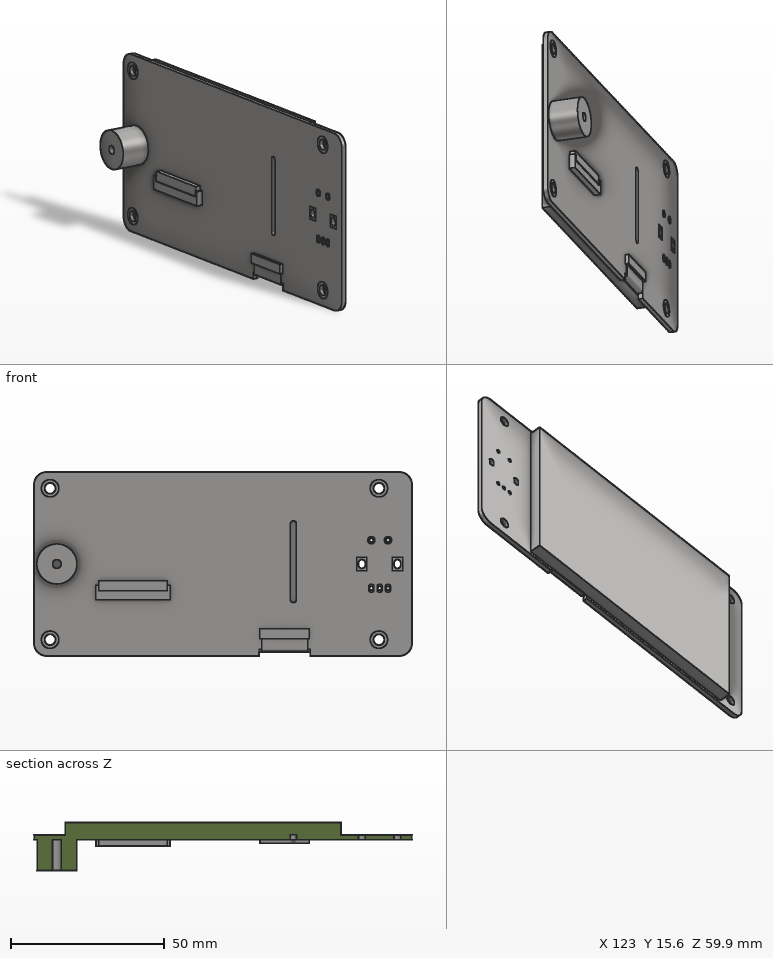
import cadquery as cq


board_length = 123.0
board_height = 59.9
board_thickness = 1.6
corner_radius = 4.3

panel_left = -51.3
panel_right = 38.4
panel_height = 57.4
panel_thickness = 4.0

pad_thickness = 0.04
mount_left = -56.2
mount_right = 50.7
mount_z = 24.6
mount_hole_diameter = 3.5
mount_pad_diameter = 5.7

knob_x = 50.9
switch_pin_spacing = 5.4
switch_pin_z = 7.7
signal_pin_spacing = 2.7
signal_pin_z = -7.9
pin_hole_diameter = 1.2
switch_pad_diameter = 2.3
signal_pad_width = 1.7
signal_pad_height = 2.6
lug_spacing = 11.5
lug_pad_width = 3.3
lug_pad_height = 4.3
lug_slot_width = 2.1
lug_slot_height = 2.8

slot_x = 22.9
slot_width = 2.0
slot_top = 14.0
slot_bottom = -12.5

buzzer_x = -54.0
buzzer_diameter = 13.0
buzzer_height = 10.0
buzzer_hole_diameter = 2.8

ribbon_x = -29.3
ribbon_body_length = 24.1
ribbon_body_top = -6.9
ribbon_body_bottom = -11.7
ribbon_body_height = 2.1
latch_length = 22.3
latch_top = -5.4
latch_bottom = -8.7
latch_height = 1.8

socket_x = 20.0
socket_length = 16.1
socket_top = -21.0
socket_bottom = -24.2
socket_height = 1.1
card_length = 14.9
card_bottom = -28.4
card_height = 0.4
card_edge_radius = 0.7
notch_length = 16.6
notch_top = -27.7

upright = 90


def block(x, length, bottom, top, front, back):
    """Box centred on x in X, between bottom and top in Z and front and back in Y."""
    base = cq.Workplane("XY").box(length, back - front, top - bottom, centered=(True, False, False))
    return base.translate((x, front, bottom))


def face_sketch(y, points):
    """Workplane facing -Y at depth y, with the given X, Z points selected."""
    return cq.Workplane("XZ", origin=(0, y, 0)).pushPoints(points)


mount_points = [(x, z) for x in (mount_left, mount_right) for z in (-mount_z, mount_z)]
switch_points = [(knob_x + side * switch_pin_spacing / 2, switch_pin_z) for side in (-1, 1)]
signal_points = [(knob_x + step * signal_pin_spacing, signal_pin_z) for step in (-1, 0, 1)]
lug_points = [(knob_x + side * lug_spacing / 2, 0) for side in (-1, 1)]

board = block(0, board_length, -board_height / 2, board_height / 2, 0, board_thickness)
board = board.edges("|Y").fillet(corner_radius)

pads = (
    face_sketch(0, mount_points).circle(mount_pad_diameter / 2).extrude(pad_thickness)
    .union(face_sketch(0, switch_points).circle(switch_pad_diameter / 2).extrude(pad_thickness))
    .union(
        face_sketch(0, signal_points)
        .slot2D(signal_pad_height, signal_pad_width, upright)
        .extrude(pad_thickness)
    )
    .union(face_sketch(0, lug_points).rect(lug_pad_width, lug_pad_height).extrude(pad_thickness))
)

through = -(board_thickness + pad_thickness)
holes = (
    face_sketch(-pad_thickness, mount_points).circle(mount_hole_diameter / 2).extrude(through)
    .union(
        face_sketch(-pad_thickness, switch_points + signal_points)
        .circle(pin_hole_diameter / 2)
        .extrude(through)
    )
    .union(
        face_sketch(-pad_thickness, lug_points)
        .slot2D(lug_slot_height, lug_slot_width, upright)
        .extrude(through)
    )
)

slot_centre = (slot_x, (slot_top + slot_bottom) / 2)
slot_length = slot_top - slot_bottom
slot = face_sketch(0, [slot_centre]).slot2D(slot_length, slot_width, upright).extrude(-board_thickness)
notch = block(socket_x, notch_length, -board_height / 2, notch_top, 0, board_thickness)

board = board.union(pads).cut(holes).cut(slot).cut(notch)

panel = block(
    (panel_left + panel_right) / 2,
    panel_right - panel_left,
    -panel_height / 2,
    panel_height / 2,
    board_thickness,
    board_thickness + panel_thickness,
)

buzzer = (
    face_sketch(0, [(buzzer_x, 0)])
    .circle(buzzer_diameter / 2)
    .circle(buzzer_hole_diameter / 2)
    .extrude(buzzer_height)
)

ribbon_body = block(ribbon_x, ribbon_body_length, ribbon_body_bottom, ribbon_body_top, -ribbon_body_height, 0)
latch_recess = block(ribbon_x, latch_length, latch_bottom, latch_top, -ribbon_body_height, 0)
ribbon_body = ribbon_body.cut(latch_recess)
latch = block(ribbon_x, latch_length, latch_bottom, latch_top, -latch_height, 0)

socket = block(socket_x, socket_length, socket_bottom, socket_top, -socket_height, 0)
card = block(socket_x, card_length, card_bottom, socket_bottom, -card_height, board_thickness)
card = card.edges("<Y and <Z").fillet(card_edge_radius)

result = board.union(panel).union(buzzer).union(ribbon_body).union(latch).union(socket).union(card)